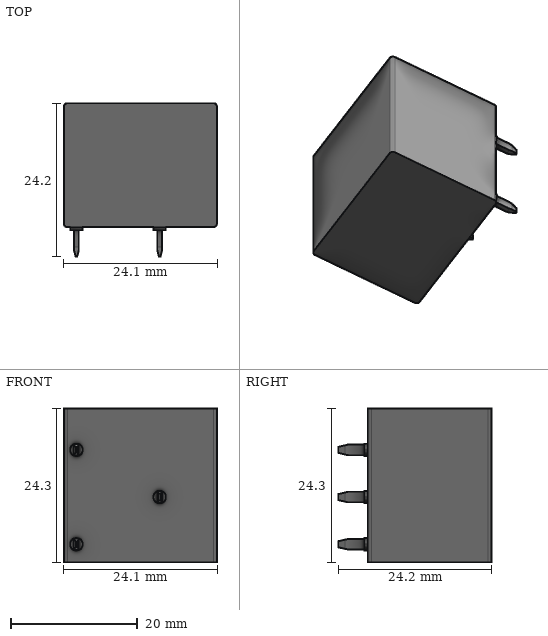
import cadquery as cq

body_width = 24.15
body_depth = 19.55
body_height = 24.3
corner_radius = 0.58

overall_depth = 24.2
pin_length = overall_depth - body_depth
collar_diameter = 2.0
collar_height = 0.5
pin_thickness = 0.8
pin_breadth = 1.7
tip_thickness = 0.27
tip_breadth = 0.97
thickness_taper = 1.02
breadth_taper = 1.55

edge_column_x = -10.08
column_spacing = 13.12
lowest_pin_z = -9.28
pin_step_z = 7.44

front_face_y = -body_depth / 2
pin_tip_y = front_face_y - pin_length
pin_positions = [
    (edge_column_x, lowest_pin_z),
    (edge_column_x + column_spacing, lowest_pin_z + pin_step_z),
    (edge_column_x, lowest_pin_z + 2 * pin_step_z),
]


def make_housing():
    block = cq.Workplane("XY").box(body_width, body_depth, body_height)
    return block.edges("|Z").fillet(corner_radius)


def tapered_outline(width, tip_width, taper_length):
    """Pin outline as (across, y) points, with a narrowing tip towards -Y."""
    shoulder_y = pin_tip_y + taper_length
    return [
        (-width / 2, front_face_y),
        (-width / 2, shoulder_y),
        (-tip_width / 2, pin_tip_y),
        (tip_width / 2, pin_tip_y),
        (width / 2, shoulder_y),
        (width / 2, front_face_y),
    ]


def make_pin():
    """Flat blade tapered in both directions, with a round collar at its root."""
    thin_outline = tapered_outline(pin_thickness, tip_thickness, thickness_taper)
    thin_profile = cq.Workplane("XY").polyline(thin_outline).close().extrude(pin_breadth / 2, both=True)

    broad_outline = [(y, z) for z, y in tapered_outline(pin_breadth, tip_breadth, breadth_taper)]
    broad_profile = cq.Workplane("YZ").polyline(broad_outline).close().extrude(pin_thickness / 2, both=True)

    collar = (
        cq.Workplane("XZ", origin=(0, front_face_y, 0))
        .circle(collar_diameter / 2)
        .extrude(collar_height)
    )
    return thin_profile.intersect(broad_profile).union(collar)


pin = make_pin()
result = make_housing()
for pin_x, pin_z in pin_positions:
    result = result.union(pin.translate((pin_x, 0, pin_z)))